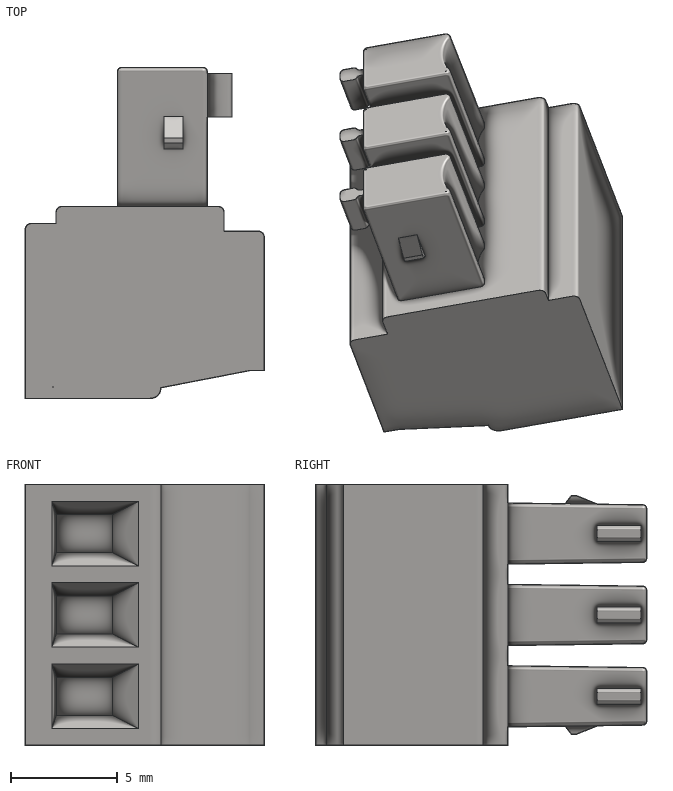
import cadquery as cq
import math

pole_count = 3
pitch = 3.81
total_length = 15.5

housing_width = 11.2
housing_height = 12.22
back_y = 9.0
back_left_x = 1.44
back_right_x = 9.32
left_shoulder_y = 8.2
right_shoulder_y = 7.84
shoulder_radius = 0.3
entry_face_width = 5.86
entry_corner_radius = 0.5
slope_end_x = 10.5
slope_end_y = 1.3

funnel_depth = 2.07
funnel_left_x = 1.25
funnel_right_x = 5.3
funnel_height = 3.02
funnel_floor_left_x = 1.46
funnel_floor_right_x = 4.09
funnel_floor_height = 1.77

plug_left_x = 4.32
plug_right_x = 8.53
plug_root_height = 2.87
plug_draft = 0.75
plug_edge_radius = 0.22
plug_tip_radius = 0.2
groove_width = 1.92
groove_depth = 0.32
groove_lip_radius = 0.28

key_tip_y = 15.22
key_length = 2.05
key_reach = 1.16
key_neck_length = 0.17
key_head_height = 0.75
key_flare_radius = 0.2
key_flare_angle = 60
key_outer_radius = 0.23

hook_left_x = 6.49
hook_width = 0.91
hook_ramp_y = 13.27
hook_crest_back_y = 12.2
hook_crest_front_y = 11.97
hook_foot_y = 11.64
hook_top_above_axis = 1.78

middle_pole = (pole_count - 1) / 2
pole_heights = [(index - middle_pole) * pitch for index in range(pole_count)]
half_root_height = plug_root_height / 2
plug_length = total_length - back_y
half_tip_height = half_root_height - plug_length * math.tan(math.radians(plug_draft))


def make_housing():
    """Stepped outline with a rounded corner beside the sloping front face."""
    arc_middle = entry_corner_radius * math.sin(math.pi / 4)
    outline = (
        cq.Workplane("XY")
        .workplane(offset=-housing_height / 2)
        .moveTo(0, 0)
        .lineTo(entry_face_width, 0)
        .threePointArc(
            (entry_face_width + arc_middle, entry_corner_radius - arc_middle),
            (entry_face_width + entry_corner_radius, entry_corner_radius),
        )
        .lineTo(slope_end_x, slope_end_y)
        .lineTo(housing_width, slope_end_y)
        .lineTo(housing_width, right_shoulder_y)
        .lineTo(back_right_x, right_shoulder_y)
        .lineTo(back_right_x, back_y)
        .lineTo(back_left_x, back_y)
        .lineTo(back_left_x, left_shoulder_y)
        .lineTo(0, left_shoulder_y)
        .close()
    )
    outer_corners = [
        (housing_width, right_shoulder_y, 0),
        (back_right_x, back_y, 0),
        (back_left_x, back_y, 0),
        (0, left_shoulder_y, 0),
    ]
    housing = outline.extrude(housing_height)
    for corner in outer_corners:
        housing = housing.edges(cq.NearestToPointSelector(corner)).fillet(shoulder_radius)
    return housing


def make_funnel():
    """Rectangular funnel narrowing from the front face to a flat floor."""
    mouth_center = (funnel_left_x + funnel_right_x) / 2
    floor_center = (funnel_floor_left_x + funnel_floor_right_x) / 2
    return (
        cq.Workplane("XZ")
        .center(mouth_center, 0)
        .rect(funnel_right_x - funnel_left_x, funnel_height)
        .workplane(offset=-funnel_depth)
        .center(floor_center - mouth_center, 0)
        .rect(funnel_floor_right_x - funnel_floor_left_x, funnel_floor_height)
        .loft(ruled=True)
    )


def make_plug():
    """Tapered finger with rounded edges and a shallow round groove along its -X side."""
    plug = (
        cq.Workplane("YZ")
        .workplane(offset=plug_left_x)
        .moveTo(back_y, -half_root_height)
        .lineTo(total_length, -half_tip_height)
        .lineTo(total_length, half_tip_height)
        .lineTo(back_y, half_root_height)
        .close()
        .extrude(plug_right_x - plug_left_x)
    )
    long_edges = plug.faces("<X or >X").edges("not |Z")
    plug = long_edges.fillet(plug_edge_radius)

    half_groove = groove_width / 2
    groove_radius = (half_groove**2 + groove_depth**2) / (2 * groove_depth)
    groove_axis_x = plug_left_x + groove_depth - groove_radius
    groove = (
        cq.Workplane("XZ", origin=(groove_axis_x, back_y, 0))
        .circle(groove_radius)
        .extrude(-plug_length)
    )
    plug = plug.cut(groove)
    middle_y = (back_y + total_length) / 2
    for side in (-1, 1):
        lip = (plug_left_x, middle_y, side * half_groove)
        plug = plug.edges(cq.NearestToPointSelector(lip)).fillet(groove_lip_radius)
    return plug.faces(">Y").edges().fillet(plug_tip_radius)


def make_key():
    """Thin neck flaring through S-shaped curves into a thicker head, uniform along Y."""
    flare_angle = math.radians(key_flare_angle)
    flare_run = key_flare_radius * math.sin(flare_angle)
    flare_rise = key_flare_radius * (1 - math.cos(flare_angle))
    root_x = plug_right_x - plug_edge_radius
    flare_start_x = plug_right_x + key_neck_length
    end_x = plug_right_x + key_reach
    half_head = key_head_height / 2
    half_neck = half_head - 2 * flare_rise
    upper_half = (
        cq.Workplane("XZ", origin=(0, key_tip_y, 0))
        .moveTo(root_x, 0)
        .lineTo(root_x, half_neck)
        .lineTo(flare_start_x, half_neck)
        .radiusArc((flare_start_x + flare_run, half_neck + flare_rise), -key_flare_radius)
        .radiusArc((flare_start_x + 2 * flare_run, half_head), key_flare_radius)
        .lineTo(end_x - key_outer_radius, half_head)
        .radiusArc((end_x, half_head - key_outer_radius), key_outer_radius)
        .lineTo(end_x, 0)
        .close()
        .extrude(key_length)
    )
    return upper_half.union(upper_half.mirror("XY"))


def make_hook():
    """Ramped latch standing on the +Z face of a plug."""
    return (
        cq.Workplane("YZ")
        .workplane(offset=hook_left_x)
        .moveTo(hook_ramp_y, 0)
        .lineTo(hook_ramp_y, half_tip_height)
        .lineTo(hook_crest_back_y, hook_top_above_axis)
        .lineTo(hook_crest_front_y, hook_top_above_axis)
        .lineTo(hook_foot_y, half_tip_height)
        .lineTo(hook_foot_y, 0)
        .close()
        .extrude(hook_width)
    )


result = make_housing()
for z in pole_heights:
    result = result.cut(make_funnel().translate((0, 0, z)))
    result = result.union(make_plug().union(make_key()).translate((0, 0, z)))

top_hook = make_hook().translate((0, 0, pole_heights[-1]))
result = result.union(top_hook).union(top_hook.mirror("XY"))